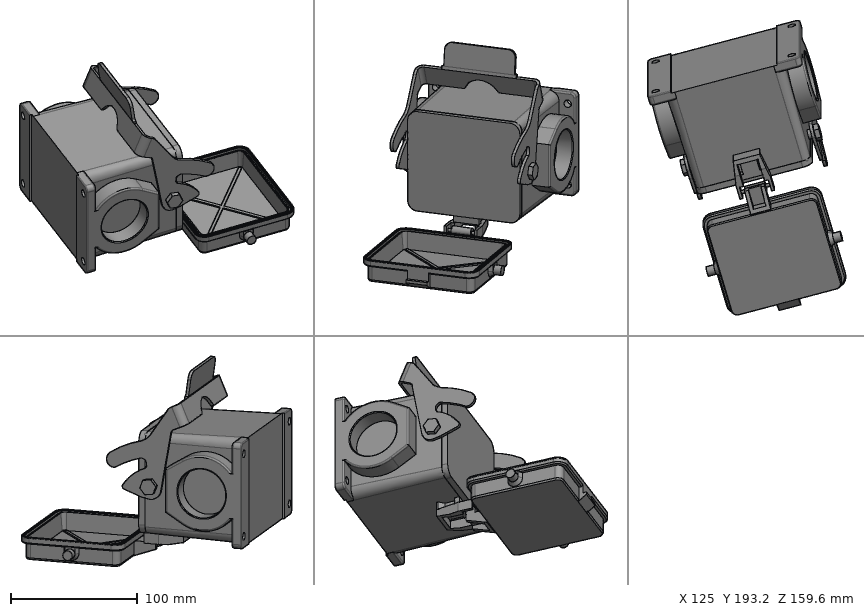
import cadquery as cq
import math


base_width = 125.0
base_height = 86.2
flange_thickness = 8.1
base_corner_radius = 4.0
panel_width = 87.0
panel_recess = 1.7
hole_diameter = 6.0
hole_span_x = 111.7
hole_span_z = 67.2
front_rounding = 0.8
back_rounding = 1.4

draft_angle = 1.3
root_width = 97.4
body_corner_radius = 8.1
rim_start = 85.4
body_length = 90.6
rim_width = 95.0
rim_height = 83.0

entry_y = 33.0
entry_radius = 31.0
entry_bore = 39.8
entry_bore_depth = 14.0
entry_bore_chamfer = 0.8
entry_tip_y = 63.4
entry_tip_half = 17.8

sheet = 2.5
lever_width = 105.3
lever_bend = 6.2
bail_tilt = math.radians(23)
bail_length = 17.5
bail_y = 55.6
bail_z = 68.4
cutout_radius = 12.4
cutout_flare = 14.7
cutout_flare_height = 3.3
cutout_height = 11.0
tab_width = 59.9
tab_corner = 6.2
tab_tilt = math.radians(7.7)
tab_base_y = 56.2
tab_base_z = 70.0
tab_top_z = 89.6
tab_root_flare = 1.7

pin_diameter = 8.0
pivot_y = 80.0
pivot_z = 0.0
head_corner_diameter = 13.5
head_thickness = 3.9
head_turn = -9

cover_y = 147.5
cover_top = -51.2
cover_bottom = -70.0
cover_rim_depth = 5.5
cover_rim_chamfer = 1.2
cover_rim_width = 97.4
cover_rim_length = 85.8
cover_rim_radius = 8.7
cover_wall_inset = 3.5
cover_edge_chamfer = 1.5
cavity_inset = 5.0
cavity_taper = 4
cover_floor = 2.9
seal_inset = 2.3
seal_width = 1.7
seal_depth = 2.3
rim_groove_inset = 1.0
rim_groove_width = 0.8
rim_groove_depth = 0.8
inner_lip_drop = 1.2
floor_rib_width = 2.5
floor_rib_height = 1.2
cover_pin_z = -61.5
cover_pin_span = 110.1
pin_boss_radius = 6.2
pin_boss_tip_radius = 4.0

catch_width = 17.8
catch_tip_y = 193.2
catch_top = -62.6
catch_nose = 2.3

hinge_y = 93.5
hinge_z = -53.0
hinge_pin_diameter = 2.9
knuckle_radius = 3.9
arm_width = 16.5
arm_end_y = 89.8
arm_top = -57.2
arm_end_bottom = -63.0
arm_root_bottom = -69.5
arm_slot_width = 10.2
arm_slot_top = -60.0
post_front_y = 65.9
post_back_y = 85.5
post_width = 21.6
post_neck_width = 13.5
post_lip = 1.2
post_flare = 4.3
post_back_lip = 4.5
fork_end_y = 97.5
fork_width = 28.2
fork_gap = 23.5
fork_gap_y = 88.0
arm_gap = 17.4
arm_gap_y = 69.5
fork_top = -48.5
fork_bottom = -57.0
fork_front_bottom = -54.9
fork_slope_y = 77.9


def facing_y(y):
    """Sketch plane at height y above the mounting face: local x is X, local y is Z, facing -Y."""
    return cq.Workplane(cq.Plane(origin=(0, y, 0), xDir=(1, 0, 0), normal=(0, -1, 0)))


def slab_y(width, height, y_start, y_end):
    return facing_y(y_start).rect(width, height).extrude(y_start - y_end)


def plate_x(profile, width):
    """Extrude a closed YZ profile symmetrically about X = 0."""
    return profile.extrude(width / 2, both=True)


def both_sides(shape):
    return shape.union(shape.mirror("YZ"))


def make_base():
    base = slab_y(base_width, base_height, 0, flange_thickness)
    base = base.edges("|Y").fillet(base_corner_radius)
    base = base.faces("<Y").edges().fillet(front_rounding)
    base = base.faces(">Y").edges().fillet(back_rounding)
    base = base.cut(slab_y(panel_width, 2 * base_height, 0, panel_recess))
    body_flat = root_width - 2 * body_corner_radius
    base = base.cut(slab_y(body_flat, 2 * base_height, 0, flange_thickness))
    holes = facing_y(0).rect(hole_span_x, hole_span_z, forConstruction=True).vertices()
    return base.cut(holes.circle(hole_diameter / 2).extrude(-flange_thickness))


def make_body():
    body = (
        facing_y(panel_recess)
        .sketch()
        .rect(root_width, base_height)
        .vertices()
        .fillet(body_corner_radius)
        .finalize()
        .extrude(panel_recess - body_length, taper=draft_angle)
    )
    rim = slab_y(rim_width, rim_height, rim_start, body_length).edges("|Y").fillet(body_corner_radius)
    return body.union(rim)


def make_entries():
    reach = math.hypot(entry_tip_y - entry_y, entry_tip_half)
    touch = math.atan2(entry_tip_half, entry_tip_y - entry_y) + math.acos(entry_radius / reach)
    touch_y = entry_y + entry_radius * math.cos(touch)
    touch_z = entry_radius * math.sin(touch)
    root_z = math.sqrt(entry_radius**2 - (entry_y - flange_thickness) ** 2)
    lobe = (
        cq.Workplane("YZ")
        .moveTo(panel_recess, root_z)
        .lineTo(flange_thickness, root_z)
        .threePointArc((entry_y, entry_radius), (touch_y, touch_z))
        .lineTo(entry_tip_y, entry_tip_half)
        .lineTo(entry_tip_y, -entry_tip_half)
        .lineTo(touch_y, -touch_z)
        .threePointArc((entry_y, -entry_radius), (flange_thickness, -root_z))
        .lineTo(panel_recess, -root_z)
        .close()
    )
    lobes = plate_x(lobe, base_width)
    beyond_flange = cq.selectors.BoxSelector(
        (-base_width, flange_thickness, -base_height), (base_width, 2 * entry_tip_y, base_height)
    )
    return lobes.faces("<X or >X").edges(beyond_flange).fillet(back_rounding)


def make_entry_bores():
    bore = (
        cq.Workplane("YZ", origin=(-base_width / 2, 0, 0))
        .center(entry_y, 0)
        .circle(entry_bore / 2)
        .extrude(entry_bore_depth)
    )
    mouth = (
        cq.Workplane("YZ", origin=(-base_width / 2, 0, 0))
        .center(entry_y, 0)
        .circle(entry_bore / 2 + entry_bore_chamfer)
        .workplane(offset=entry_bore_chamfer)
        .circle(entry_bore / 2)
        .loft()
    )
    return both_sides(bore.union(mouth))


def make_bail():
    """Crosspiece of the lever: a strip whose two ends bend round to meet the side plates."""
    down = (0, -math.sin(bail_tilt), -math.cos(bail_tilt))
    plane = cq.Plane(origin=(0, bail_y, bail_z), xDir=(1, 0, 0), normal=down)
    half = lever_width / 2
    straight = half - lever_bend
    outer_mid = lever_bend * math.sqrt(0.5)
    inner_bend = lever_bend - sheet
    inner_mid = inner_bend * math.sqrt(0.5)
    return (
        cq.Workplane(plane)
        .moveTo(-half, -lever_bend)
        .threePointArc((-straight - outer_mid, outer_mid - lever_bend), (-straight, 0))
        .lineTo(straight, 0)
        .threePointArc((straight + outer_mid, outer_mid - lever_bend), (half, -lever_bend))
        .lineTo(half - sheet, -lever_bend)
        .threePointArc((straight + inner_mid, inner_mid - lever_bend), (straight, -sheet))
        .lineTo(-straight, -sheet)
        .threePointArc((-straight - inner_mid, inner_mid - lever_bend), (sheet - half, -lever_bend))
        .close()
        .extrude(bail_length)
    )


def make_lever_side():
    """Side plate with two jaws, joined to the bent end of the crosspiece."""
    cos_tilt = math.cos(bail_tilt)
    sin_tilt = math.sin(bail_tilt)
    bend_y = bail_y + lever_bend * cos_tilt
    bend_z = bail_z - lever_bend * sin_tilt
    profile = (
        cq.Workplane("YZ", origin=(-lever_width / 2, 0, 0))
        .moveTo(bend_y, bend_z)
        .lineTo(bend_y - bail_length * sin_tilt, bend_z - bail_length * cos_tilt)
        .lineTo(60.9, 47.0)
        .lineTo(62.0, 45.5)
        .lineTo(70.5, -2.9)
        .threePointArc((73.5, -8.5), (80.0, -10.6))
        .lineTo(87.0, -9.3)
        .lineTo(100.9, -4.3)
        .threePointArc((102.5, -2.1), (101.6, 0.4))
        .threePointArc((93.7, 8.7), (83.9, 14.1))
        .threePointArc((82.3, 18.5), (86.5, 22.5))
        .threePointArc((99.7, 17.8), (109.0, 13.0))
        .threePointArc((115.5, 17.8), (112.8, 25.0))
        .threePointArc((101.2, 31.3), (87.0, 36.1))
        .threePointArc((82.7, 38.5), (79.2, 42.1))
        .lineTo(65.1, 63.0)
        .threePointArc((63.4, 65.0), (bend_y, bend_z))
        .close()
    )
    return profile.extrude(sheet)


def make_bail_cutout():
    """Half-round notch with flared ends, square to the face of the crosspiece."""
    across = (0, -math.cos(bail_tilt), math.sin(bail_tilt))
    edge_y = bail_y - bail_length * math.sin(bail_tilt)
    edge_z = bail_z - bail_length * math.cos(bail_tilt)
    plane = cq.Plane(origin=(0, edge_y, edge_z), xDir=(1, 0, 0), normal=across)
    return (
        cq.Workplane(plane)
        .moveTo(-cutout_flare, 0)
        .lineTo(-cutout_radius, cutout_flare_height)
        .threePointArc((0, cutout_height), (cutout_radius, cutout_flare_height))
        .lineTo(cutout_flare, 0)
        .close()
        .extrude(2 * sheet, both=True)
    )


def make_tab():
    tab_length = (tab_top_z - tab_base_z - sheet / 2 * math.sin(tab_tilt)) / math.cos(tab_tilt)
    facing = (0, -math.cos(tab_tilt), -math.sin(tab_tilt))
    plane = cq.Plane(origin=(0, tab_base_y, tab_base_z), xDir=(1, 0, 0), normal=facing)
    half = tab_width / 2
    foot = half + tab_root_flare
    return (
        cq.Workplane(plane)
        .moveTo(-foot, 0)
        .radiusArc((-half, tab_root_flare), -tab_root_flare)
        .lineTo(-half, tab_length - tab_corner)
        .radiusArc((tab_corner - half, tab_length), tab_corner)
        .lineTo(half - tab_corner, tab_length)
        .radiusArc((half, tab_length - tab_corner), tab_corner)
        .lineTo(half, tab_root_flare)
        .radiusArc((foot, 0), -tab_root_flare)
        .close()
        .extrude(sheet / 2, both=True)
    )


def make_tab_foot():
    """Bent strip that carries the tab up from the top edge of the crosspiece."""
    tab_y = sheet / 2 * math.cos(tab_tilt)
    tab_z = sheet / 2 * math.sin(tab_tilt)
    profile = (
        cq.Workplane("YZ")
        .moveTo(bail_y, bail_z)
        .lineTo(tab_base_y - tab_y, tab_base_z - tab_z)
        .lineTo(tab_base_y + tab_y, tab_base_z + tab_z)
        .lineTo(bail_y + sheet * math.cos(bail_tilt), bail_z - sheet * math.sin(bail_tilt))
        .close()
    )
    return plate_x(profile, tab_width + 2 * tab_root_flare)


def make_pivot():
    """Pin from the housing through one lever side, with a hexagon head outside it."""
    head_inner_x = -lever_width / 2
    pin = (
        cq.Workplane("YZ", origin=(head_inner_x, pivot_y, pivot_z))
        .circle(pin_diameter / 2)
        .extrude(lever_width / 2 - rim_width / 2 + body_corner_radius)
    )
    head = (
        cq.Workplane("YZ", origin=(head_inner_x, pivot_y, pivot_z))
        .transformed(rotate=(0, 0, head_turn))
        .polygon(6, head_corner_diameter)
        .extrude(-head_thickness)
    )
    return pin.union(head)


def make_lever():
    sides = both_sides(make_lever_side().union(make_pivot()))
    crosspiece = make_bail().cut(make_bail_cutout())
    return sides.union(crosspiece).union(make_tab_foot()).union(make_tab())


def cover_block(inset, bottom, top):
    """Rounded block that follows the cover outline at a constant inset."""
    return (
        cq.Workplane("XY", origin=(0, cover_y, bottom))
        .rect(cover_rim_width - 2 * inset, cover_rim_length - 2 * inset)
        .extrude(top - bottom)
        .edges("|Z")
        .fillet(cover_rim_radius - inset)
    )


def make_cover_shell():
    wall = cover_block(cover_wall_inset, cover_bottom, cover_top)
    wall = wall.faces("<Z").edges().chamfer(cover_edge_chamfer, cover_edge_chamfer / 2)
    rim = cover_block(0, cover_top - cover_rim_depth, cover_top)
    return wall.union(rim.faces("<Z").edges().chamfer(cover_rim_chamfer))


def rim_groove(inset, width, depth):
    groove = cover_block(inset, cover_top - depth, cover_top)
    return groove.cut(cover_block(inset + width, cover_top - depth, cover_top))


def make_cover_cavity():
    """Tapered cavity and, around its mouth, a lowered lip, the seal groove and a fine outer groove."""
    cavity = (
        cq.Workplane("XY", origin=(0, cover_y, cover_top))
        .sketch()
        .rect(cover_rim_width - 2 * cavity_inset, cover_rim_length - 2 * cavity_inset)
        .vertices()
        .fillet(cover_rim_radius - cavity_inset)
        .finalize()
        .extrude(cover_bottom + cover_floor - cover_top, taper=cavity_taper)
    )
    return (
        cavity.union(cover_block(seal_inset, cover_top - inner_lip_drop, cover_top))
        .union(rim_groove(seal_inset, seal_width, seal_depth))
        .union(rim_groove(rim_groove_inset, rim_groove_width, rim_groove_depth))
    )


def make_floor_ribs():
    """Two ribs along the diagonals of the cavity floor, ending inside the walls."""
    width = cover_rim_width - 2 * cavity_inset
    length = cover_rim_length - 2 * cavity_inset
    floor_z = cover_bottom + cover_floor
    angle = math.degrees(math.atan2(length, width))
    rib = (
        cq.Workplane("XY")
        .rect(math.hypot(width, length) - 2 * cavity_inset, floor_rib_width)
        .extrude(floor_rib_height)
        .translate((0, cover_y, floor_z))
    )
    axis_start = (0, cover_y, 0)
    axis_end = (0, cover_y, 1)
    return rib.rotate(axis_start, axis_end, angle).union(rib.rotate(axis_start, axis_end, -angle))


def make_cover_pin():
    """Locking pin on a conical boss that blends upward into the cover rim."""
    wall_x = cover_wall_inset - cover_rim_width / 2
    boss_length = cover_wall_inset
    boss_taper = math.degrees(math.atan2(pin_boss_radius - pin_boss_tip_radius, boss_length))
    boss_top = cover_top - cover_rim_depth / 2 - cover_pin_z
    boss = (
        cq.Workplane("YZ", origin=(wall_x, cover_y, cover_pin_z))
        .moveTo(-pin_boss_radius, 0)
        .threePointArc((0, -pin_boss_radius), (pin_boss_radius, 0))
        .lineTo(pin_boss_radius, boss_top)
        .lineTo(-pin_boss_radius, boss_top)
        .close()
        .extrude(-boss_length, taper=boss_taper)
    )
    pin = (
        cq.Workplane("YZ", origin=(wall_x, cover_y, cover_pin_z))
        .circle(pin_diameter / 2)
        .extrude(-cover_pin_span / 2 - wall_x)
    )
    return boss.union(pin)


def make_catch():
    rim_y = cover_y + cover_rim_length / 2
    wall_y = rim_y - cover_wall_inset
    profile = (
        cq.Workplane("YZ")
        .moveTo(wall_y - cover_floor, cover_top - cover_rim_chamfer - cover_rim_depth / 2)
        .lineTo(rim_y, cover_top - cover_rim_chamfer - cover_rim_depth / 2)
        .lineTo(rim_y, catch_top)
        .lineTo(catch_tip_y, catch_top)
        .lineTo(catch_tip_y, catch_top - catch_nose)
        .lineTo(wall_y - cover_edge_chamfer / 2, cover_bottom)
        .lineTo(wall_y - cover_floor, cover_bottom)
        .close()
    )
    return plate_x(profile, catch_width)


def make_hinge_arm():
    """Arm from the cover to the hinge pin, slotted from below."""
    wall_y = cover_y - cover_rim_length / 2 + cover_wall_inset
    arm = (
        cq.Workplane("YZ")
        .moveTo(wall_y, arm_top)
        .lineTo(arm_end_y, arm_top)
        .lineTo(arm_end_y, arm_end_bottom)
        .lineTo(wall_y, arm_root_bottom)
        .close()
    )
    neck = (
        cq.Workplane("YZ")
        .moveTo(hinge_y - knuckle_radius, hinge_z)
        .threePointArc((hinge_y, hinge_z + knuckle_radius), (hinge_y + knuckle_radius, hinge_z))
        .lineTo(hinge_y + knuckle_radius, arm_top)
        .lineTo(hinge_y - knuckle_radius, arm_top)
        .close()
    )
    slot_length = wall_y - cover_wall_inset - arm_end_y
    slot = (
        cq.Workplane("XY", origin=(0, arm_end_y + slot_length / 2, arm_slot_top))
        .rect(arm_slot_width, slot_length)
        .extrude(cover_bottom - arm_slot_top)
    )
    pin = plate_x(cq.Workplane("YZ").center(hinge_y, hinge_z).circle(hinge_pin_diameter / 2), fork_width)
    return plate_x(arm, arm_width).cut(slot).union(plate_x(neck, arm_width)).union(pin)


def make_hinge_bracket():
    """Post hanging from the housing, widening into a fork that holds the hinge pin."""
    right_half_post = (
        cq.Workplane("XY", origin=(0, 0, fork_top))
        .moveTo(0, post_front_y)
        .lineTo(post_width / 2, post_front_y)
        .lineTo(post_width / 2, post_front_y + post_lip)
        .lineTo(post_neck_width / 2, post_front_y + post_lip + post_flare)
        .lineTo(post_neck_width / 2, post_back_y - post_back_lip)
        .lineTo(post_width / 2, post_back_y - post_back_lip)
        .lineTo(post_width / 2, post_back_y)
        .lineTo(0, post_back_y)
        .close()
        .extrude(body_corner_radius - base_height / 2 - fork_top)
    )
    right_half_fork = (
        cq.Workplane("XY", origin=(0, 0, fork_bottom))
        .moveTo(0, post_front_y)
        .lineTo(post_width / 2, post_front_y)
        .lineTo(fork_width / 2, post_back_y)
        .lineTo(fork_width / 2, fork_end_y)
        .lineTo(fork_gap / 2, fork_end_y)
        .lineTo(fork_gap / 2, fork_gap_y)
        .lineTo(arm_gap / 2, fork_gap_y)
        .lineTo(arm_gap / 2, arm_gap_y)
        .lineTo(0, arm_gap_y)
        .close()
        .extrude(fork_top - fork_bottom)
    )
    underside = (
        cq.Workplane("YZ")
        .moveTo(post_front_y, fork_front_bottom)
        .lineTo(fork_slope_y, fork_bottom)
        .lineTo(post_front_y, fork_bottom)
        .close()
    )
    return both_sides(right_half_post.union(right_half_fork)).cut(plate_x(underside, fork_width))


result = (
    make_base()
    .union(make_body())
    .union(make_entries())
    .cut(make_entry_bores())
    .union(make_lever())
    .union(make_cover_shell())
    .union(make_catch())
    .cut(make_cover_cavity())
    .union(make_floor_ribs())
    .union(both_sides(make_cover_pin()))
    .union(make_hinge_arm())
    .union(make_hinge_bracket())
)